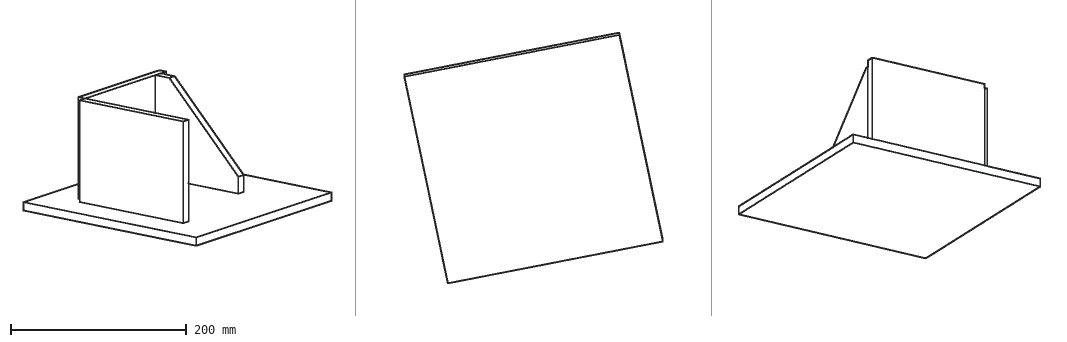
import cadquery as cq

base_side = 250.0
thickness = 10.0
panel_length = 150.0
panel_height = 120.0
gusset_length = 120.0
gusset_flat = 20.0
gusset_setback = 10.0

side_inner_x = -panel_length / 2
side_front_y = -panel_length / 2
side_rear_y = panel_length / 2
gusset_rear_y = side_rear_y - gusset_setback


def upright_panel(x_min, y_min, x_size, y_size):
    """Rectangular panel standing on the base."""
    return (
        cq.Workplane("XY")
        .box(x_size, y_size, panel_height, centered=False)
        .translate((x_min, y_min, thickness))
    )


def sloped_gusset():
    """Upright gusset whose top falls away from the side panel."""
    return (
        cq.Workplane("XZ")
        .polyline([
            (0, 0),
            (gusset_length, 0),
            (gusset_length, gusset_flat),
            (gusset_flat, panel_height),
            (0, panel_height),
        ])
        .close()
        .extrude(thickness)
        .translate((side_inner_x, gusset_rear_y, thickness))
    )


base = cq.Workplane("XY").box(base_side, base_side, thickness, centered=(True, True, False))

side_panel = upright_panel(side_inner_x - thickness, side_front_y, thickness, panel_length)
front_panel = upright_panel(side_inner_x, side_front_y - thickness, panel_length, thickness)
gusset = sloped_gusset()

result = cq.Compound.makeCompound([base.val(), side_panel.val(), front_panel.val(), gusset.val()])